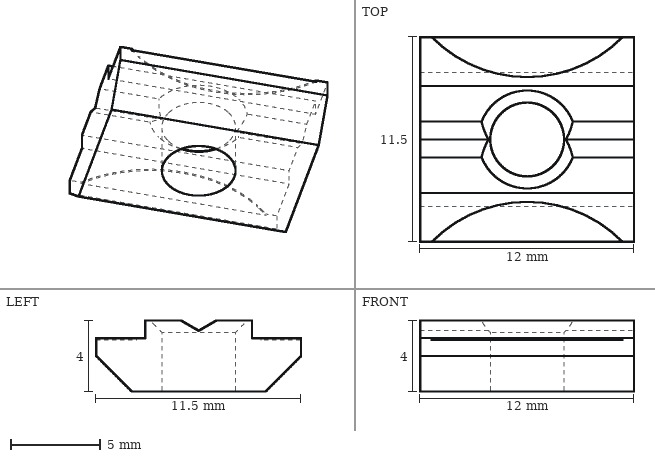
import cadquery as cq
import math

length = 12.0
width = 11.5
height = 4.0

edge_chamfer = 2.0
tongue_width = 6.0
tongue_height = 1.0
wing_top = height - tongue_height

groove_width = 2.0
groove_flank_angle = 30.0
groove_depth = groove_width / 2 * math.tan(math.radians(groove_flank_angle))

hole_diameter = 4.134
countersink_diameter = 5.5
countersink_angle = 90.0

recess_radius = 7.5
recess_inner_edge = 3.5
recess_depth = 0.1
recess_center_y = recess_inner_edge + recess_radius


def make_body():
    """Extrude the symmetric cross-section along X, groove included."""
    right_half = [
        (width / 2 - edge_chamfer, 0),
        (width / 2, edge_chamfer),
        (width / 2, wing_top),
        (tongue_width / 2, wing_top),
        (tongue_width / 2, height),
        (groove_width / 2, height),
    ]
    left_half = [(-y, z) for y, z in reversed(right_half)]
    groove_bottom = (0, height - groove_depth)
    outline = right_half + [groove_bottom] + left_half
    return cq.Workplane("YZ").polyline(outline).close().extrude(length / 2, both=True)


def cut_hole(body):
    """Drill and countersink the hole from the top of the tongue."""
    return (
        body.copyWorkplane(cq.Workplane("XY", origin=(0, 0, height)))
        .cskHole(hole_diameter, countersink_diameter, countersink_angle)
    )


def cut_wing_recesses(body):
    """Cut one arc-edged recess into the top of each wing."""
    recess_floor = wing_top - recess_depth
    recesses = (
        cq.Workplane("XY", origin=(0, 0, recess_floor))
        .pushPoints([(0, side * recess_center_y) for side in (-1, 1)])
        .circle(recess_radius)
        .extrude(recess_depth)
    )
    return body.cut(recesses)


result = cut_wing_recesses(cut_hole(make_body()))